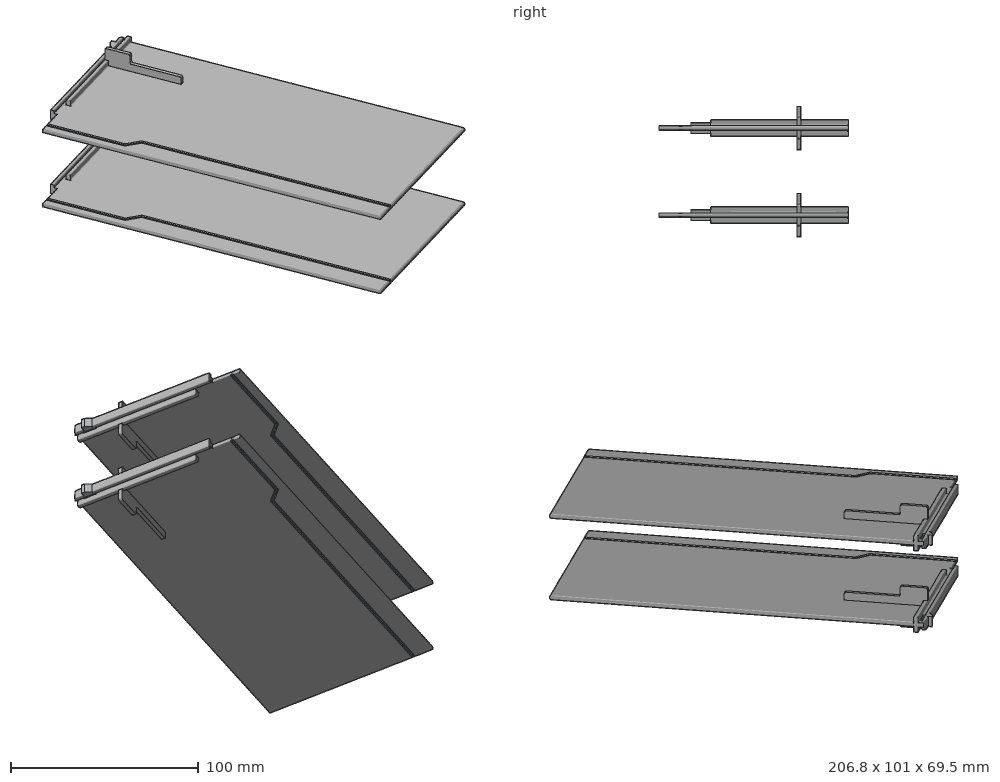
import cadquery as cq

card_count = 2
card_pitch = 46.3
card_length = 206.8
card_width = 101.0
edge_round = 0.5
overlap = 0.8

sheet_thickness = 2.5
sheet_left = 5.8

groove_mouth_width = 1.9
groove_floor_width = 0.8
groove_depth = 0.52
groove_near_y = 5.0
groove_far_y = 11.5
groove_bend_x = 52.3

bar_left = 1.96
bar_right = 4.1
bar_front = 17.0
bar_height = 5.8
bar_corner_radius = 2.0
slot_front = 89.0
slot_back = 96.8
slot_right = 6.0

catch_front = 89.3
catch_tip_front = 92.9
catch_back = 94.7

rail_left = 6.2
rail_right = 8.7
rail_front = 27.5
rail_height = 8.9

rib_y = 74.5
rib_thickness = 2.0
rib_left = 6.5
rib_step_x = 21.3
rib_right = 51.7
rib_tall_height = card_pitch / 2
rib_low_height = rib_tall_height / 2
rib_corner_radius = 1.0


def block(x_range, y_range, height):
    """Box over the given X and Y ranges, centred on the mid-plane."""
    x0, x1 = x_range
    y0, y1 = y_range
    corner = cq.Workplane("XY", origin=(x0, y0, 0))
    return corner.box(x1 - x0, y1 - y0, height, centered=(False, False, True))


def groove_cutter():
    """Bar of trapezium section swept along the groove's path, for the upper face."""
    start_x = sheet_left - overlap
    face_z = sheet_thickness / 2
    half_floor = groove_floor_width / 2
    half_mouth = groove_mouth_width / 2
    path = cq.Workplane("XY").polyline([
        (start_x, groove_near_y),
        (groove_bend_x, groove_near_y),
        (groove_bend_x + groove_far_y - groove_near_y, groove_far_y),
        (card_length + overlap, groove_far_y),
    ])
    section = cq.Workplane("YZ", origin=(start_x, groove_near_y, 0)).polyline([
        (-half_floor, face_z - groove_depth),
        (half_floor, face_z - groove_depth),
        (half_mouth, face_z),
        (half_mouth, face_z + overlap),
        (-half_mouth, face_z + overlap),
        (-half_mouth, face_z),
    ]).close()
    return section.sweep(path, transition="right")


def make_sheet():
    """Flat sheet with rounded edges, a full-round nose at +X and a groove in each face."""
    half = sheet_thickness / 2
    nose_x = card_length - half
    sheet = (
        cq.Workplane("XZ", origin=(0, card_width, 0))
        .moveTo(sheet_left, -half)
        .lineTo(nose_x, -half)
        .threePointArc((card_length, 0), (nose_x, half))
        .lineTo(sheet_left, half)
        .close()
        .extrude(card_width)
    )
    sheet = sheet.edges("<Y or >Y or (|Y and <X)").edges("not |Z").fillet(edge_round)
    upper_groove = groove_cutter()
    return sheet.cut(upper_groove).cut(upper_groove.mirror("XY"))


def make_latch():
    """Round-edged bar with its catch, and the web that joins it to the sheet."""
    bar = block((bar_left, bar_right), (bar_front, card_width), bar_height)
    bar = bar.edges("|Z and <X and >Y").fillet(bar_corner_radius).edges("|Y").fillet(edge_round)
    catch = cq.Workplane("XY", origin=(0, 0, -bar_height / 2)).polyline([
        (bar_left + overlap, catch_front),
        (bar_left, catch_front),
        (0, catch_tip_front),
        (0, catch_back),
        (bar_left + overlap, catch_back),
    ]).close().extrude(bar_height)
    web = block((bar_right - overlap, rail_left + overlap), (bar_front, card_width), sheet_thickness)
    return bar.union(catch).union(web)


def make_rail_foot():
    """Strip whose hollow-curved sides blend the rail into both faces of the sheet."""
    half = sheet_thickness / 2
    top = half + edge_round
    foot_back = card_width - edge_round
    return (
        cq.Workplane("XZ", origin=(0, foot_back, 0))
        .moveTo(rail_left - edge_round, -half)
        .lineTo(rail_left - edge_round, half)
        .radiusArc((rail_left, top), -edge_round)
        .lineTo(rail_right, top)
        .radiusArc((rail_right + edge_round, half), -edge_round)
        .lineTo(rail_right + edge_round, -half)
        .radiusArc((rail_right, -top), -edge_round)
        .lineTo(rail_left, -top)
        .radiusArc((rail_left - edge_round, -half), -edge_round)
        .close()
        .extrude(foot_back - rail_front)
    )


def make_rail():
    """Round-edged rail through the sheet, parallel to the latch bar."""
    rail = block((rail_left, rail_right), (rail_front, card_width), rail_height)
    return rail.edges("|X or |Y").fillet(edge_round).union(make_rail_foot())


def make_rib():
    """Thin rib, tall beside the rail and low beyond the step, with every corner rounded."""
    y_range = (rib_y - rib_thickness / 2, rib_y + rib_thickness / 2)
    tall = block((rib_left, rib_step_x), y_range, rib_tall_height)
    low = block((rib_left, rib_right), y_range, rib_low_height)
    return tall.union(low).edges("|Y").fillet(rib_corner_radius)


def make_card():
    """One complete card as a single solid."""
    body = make_sheet().union(make_latch()).union(make_rail()).union(make_rib())
    slot = block((bar_right, slot_right), (slot_front, slot_back), bar_height)
    return body.cut(slot)


card = make_card()
cards = [card.translate((0, 0, index * card_pitch)).val() for index in range(card_count)]
result = cq.Compound.makeCompound(cards)